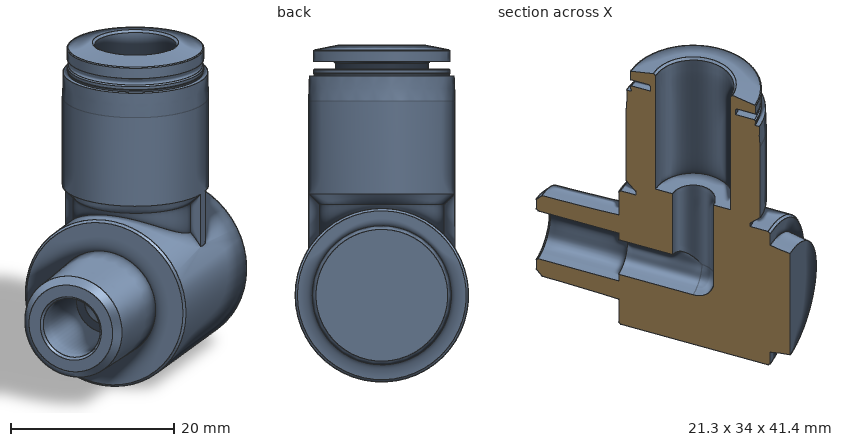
import cadquery as cq


body_diameter = 21.3
body_front = -9.95
body_back = 10.35
body_chamfer = 0.3

cap_back = 13.0
cap_base_diameter = 17.08
cap_end_diameter = 16.15

spigot_front = -21.0
spigot_base_diameter = 13.5
spigot_end_diameter = 12.9
spigot_tip_diameter = 11.1
spigot_tip_length = 0.83

neck_diameter = 15.35
stem_diameter = 18.0
stem_top_diameter = 17.8
stem_bottom = 12.45
stem_taper_start = 23.8
stem_top = 26.9
neck_top = stem_bottom - (stem_diameter - neck_diameter) / 2

collar_diameter = 16.8
ring_top = 27.8
ring_chamfer = 0.15
ring_foot_height = 0.2
ring_foot_step = 0.1
ring_foot_slope = 0.12
sleeve_diameter = 11.4
collar_bottom = 28.65
collar_edge = 29.98
collar_chamfer = 0.12
overall_height = 41.35
collar_top = overall_height - body_diameter / 2
sleeve_flare = 0.2

rib_thickness = 1.6

passage_diameter = 5.4
spigot_bore_diameter = 7.53
socket_diameter = 10.0
entry_chamfer = 0.3
spigot_bore_end = body_front
socket_floor = stem_bottom


def turned_on_z(profile):
    """Revolve (radius, z) points about the vertical axis."""
    return cq.Workplane("XZ").polyline(profile).close().revolve(360, (0, 0), (0, 1))


def turned_on_y(profile):
    """Revolve (radius, y) points about the horizontal axis."""
    return cq.Workplane("XY").polyline(profile).close().revolve(360, (0, 0), (0, 1))


def make_body():
    radius = body_diameter / 2
    chamfered_radius = radius - body_chamfer
    return turned_on_y([
        (0, spigot_front),
        (spigot_tip_diameter / 2, spigot_front),
        (spigot_end_diameter / 2, spigot_front + spigot_tip_length),
        (spigot_base_diameter / 2, body_front),
        (chamfered_radius, body_front),
        (radius, body_front + body_chamfer),
        (radius, body_back - body_chamfer),
        (chamfered_radius, body_back),
        (cap_base_diameter / 2, body_back),
        (cap_end_diameter / 2, cap_back),
        (0, cap_back),
    ])


def make_stem():
    ring_radius = collar_diameter / 2
    foot_radius = ring_radius - ring_foot_step
    sleeve_radius = sleeve_diameter / 2
    return turned_on_z([
        (0, 0),
        (neck_diameter / 2, 0),
        (neck_diameter / 2, neck_top),
        (stem_diameter / 2, stem_bottom),
        (stem_diameter / 2, stem_taper_start),
        (stem_top_diameter / 2, stem_top),
        (foot_radius, stem_top),
        (foot_radius, stem_top + ring_foot_height),
        (ring_radius, stem_top + ring_foot_height + ring_foot_slope),
        (ring_radius, ring_top - ring_chamfer),
        (ring_radius - ring_chamfer, ring_top),
        (sleeve_radius, ring_top),
        (sleeve_radius, collar_bottom - sleeve_flare),
        (sleeve_radius + sleeve_flare, collar_bottom),
        (collar_diameter / 2, collar_bottom),
        (collar_diameter / 2, collar_edge),
        (collar_diameter / 2 - collar_chamfer, collar_edge + collar_chamfer),
        (socket_diameter / 2 + entry_chamfer, collar_top),
        (0, collar_top),
    ])


def make_ribs():
    """One plate through the stem forms both ribs; their outer faces follow the stem's cylinder."""
    plate = cq.Workplane("XY").box(
        stem_diameter, rib_thickness, stem_bottom, centered=(True, True, False)
    )
    stem_envelope = cq.Workplane("XY").circle(stem_diameter / 2).extrude(stem_bottom)
    return plate.intersect(stem_envelope)


def make_spigot_passage():
    bore_radius = spigot_bore_diameter / 2
    passage_radius = passage_diameter / 2
    return turned_on_y([
        (0, spigot_front),
        (bore_radius + entry_chamfer, spigot_front),
        (bore_radius, spigot_front + entry_chamfer),
        (bore_radius, spigot_bore_end),
        (passage_radius, spigot_bore_end),
        (passage_radius, 0),
        (0, 0),
    ])


def make_stem_passage():
    socket_radius = socket_diameter / 2
    passage_radius = passage_diameter / 2
    return turned_on_z([
        (0, 0),
        (passage_radius, 0),
        (passage_radius, socket_floor),
        (socket_radius, socket_floor),
        (socket_radius, collar_top - entry_chamfer),
        (socket_radius + entry_chamfer, collar_top),
        (0, collar_top),
    ])


elbow = cq.Workplane("XY").sphere(passage_diameter / 2)

solid_fitting = make_body().union(make_stem()).union(make_ribs())
result = solid_fitting.cut(make_spigot_passage()).cut(make_stem_passage()).cut(elbow)